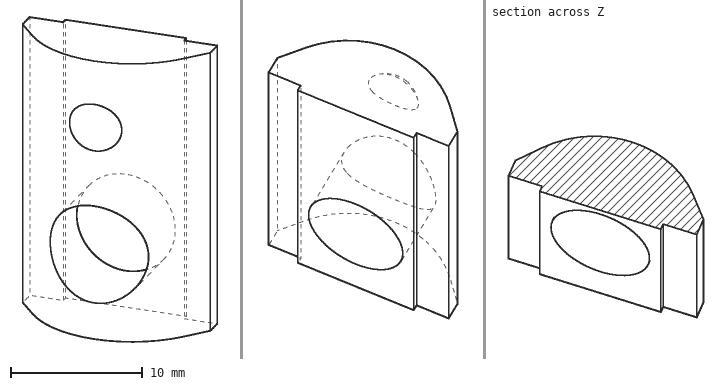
import cadquery as cq
import math


length = 23.0
width = 15.3
thickness = 6.68
strip_width = 9.85
strip_height = 0.5
side_wall_end = 2.0
front_radius = 8.0
flank_angle = math.radians(50.0)

hole_diameter = 8.0
hole_height = 7.0

ball_radius = 2.5
ball_projection = 0.9
ball_height = 17.5

tangent_x = front_radius * math.sin(flank_angle)
tangent_y = front_radius * (1.0 - math.cos(flank_angle)) - thickness


def make_bar():
    """Extrude the cross-section along Z."""
    half_width = width / 2.0
    half_strip = strip_width / 2.0
    return (
        cq.Workplane("XY")
        .moveTo(-half_strip, 0)
        .lineTo(half_strip, 0)
        .lineTo(half_strip, -strip_height)
        .lineTo(half_width, -strip_height)
        .lineTo(half_width, -side_wall_end)
        .lineTo(tangent_x, tangent_y)
        .threePointArc((0, -thickness), (-tangent_x, tangent_y))
        .lineTo(-half_width, -side_wall_end)
        .lineTo(-half_width, -strip_height)
        .lineTo(-half_strip, -strip_height)
        .close()
        .extrude(length)
    )


def make_hole():
    """Cylinder along Y, running from the back face out through the crest."""
    return (
        cq.Workplane("XZ", origin=(0, 0, hole_height))
        .circle(hole_diameter / 2.0)
        .extrude(thickness)
    )


def make_ball():
    """Sphere partly embedded in the rounded front."""
    center_y = ball_radius - thickness - ball_projection
    return cq.Workplane("XY").sphere(ball_radius).translate((0, center_y, ball_height))


result = make_bar().cut(make_hole()).union(make_ball())